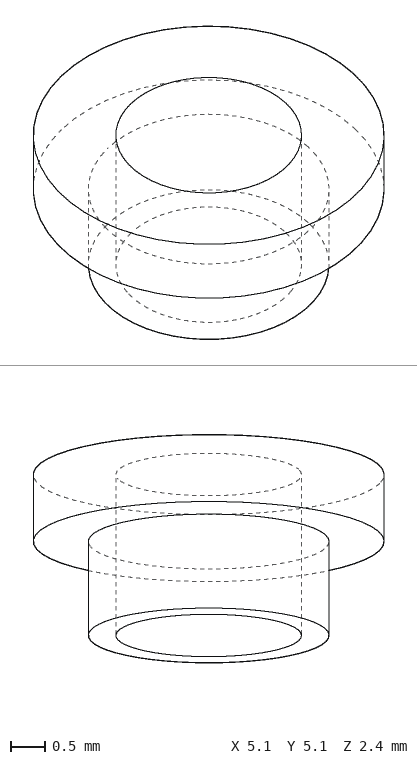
import cadquery as cq

flange_diameter = 5.1
sleeve_diameter = 3.5
bore_diameter = 2.7
total_height = 2.4
flange_height = 1.0

sleeve_height = total_height - flange_height

sleeve = cq.Workplane("XY").circle(sleeve_diameter / 2).extrude(sleeve_height)

flange = (
    cq.Workplane("XY")
    .workplane(offset=sleeve_height)
    .circle(flange_diameter / 2)
    .extrude(flange_height)
)

bore = cq.Workplane("XY").circle(bore_diameter / 2).extrude(total_height)

result = sleeve.union(flange).cut(bore)